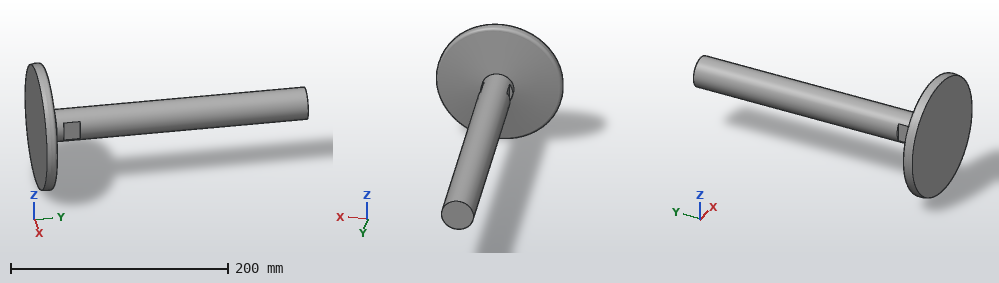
import cadquery as cq

total_length = 252.0
disc_radius = 118.0 / 2
stem_radius = 30.0 / 2

face_inset = 0.8
taper_height = 4.0
rim_height = 10.0
rim_round = 3.0
cone_top = 17.0

flats_start = 23.7
flats_length = 15.4
across_flats = 24.0


def make_body():
    """Revolve the disc, its conical back and the stem about the Y axis."""
    arc_offset = rim_round * (1 - 0.5 ** 0.5)
    profile = (
        cq.Workplane("XY")
        .lineTo(disc_radius - face_inset, 0)
        .lineTo(disc_radius, taper_height)
        .lineTo(disc_radius, rim_height - rim_round)
        .threePointArc(
            (disc_radius - arc_offset, rim_height - arc_offset),
            (disc_radius - rim_round, rim_height),
        )
        .lineTo(stem_radius, cone_top)
        .lineTo(stem_radius, total_length)
        .lineTo(0, total_length)
        .close()
    )
    return profile.revolve(360, (0, 0, 0), (0, 1, 0))


def cut_wrench_flats(body):
    """Cut two opposite flats, facing -X and +X."""
    cutter_size = 2 * stem_radius
    for side in (-1, 1):
        cutter = cq.Workplane("XY").box(cutter_size, flats_length, cutter_size).translate(
            (side * (across_flats + cutter_size) / 2, flats_start + flats_length / 2, 0)
        )
        body = body.cut(cutter)
    return body


result = cut_wrench_flats(make_body())